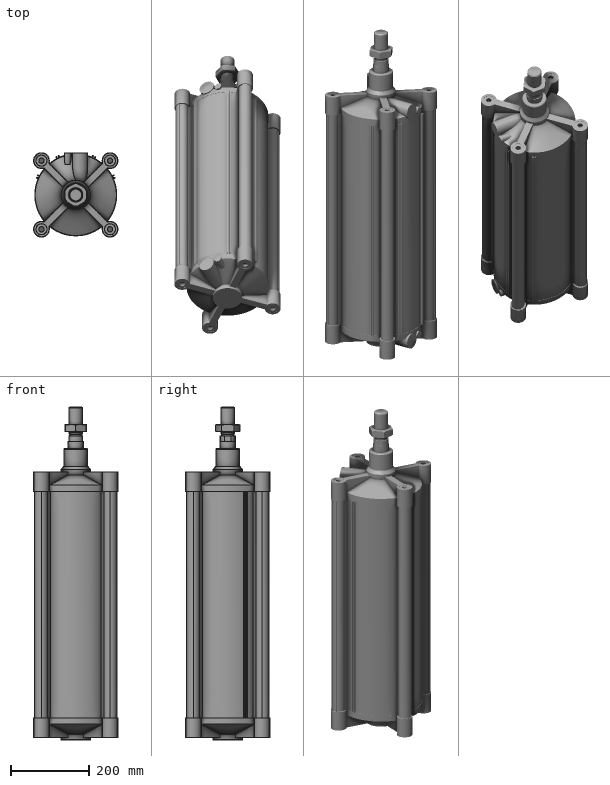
import cadquery as cq
import math

TOTAL_HEIGHT = 853.0

REAR_SEAM = 56.0
FRONT_SEAM = 636.0

CAP_RADIUS = 105.0
CAP_RIM_HEIGHT = 16.0
CAP_CONE_TOP = 43.0
BOSS_HEIGHT = 50.0
HUB_DIAMETER = 75.0
HUB_HEIGHT = REAR_SEAM
RIB_WIDTH = 18.0

CORNER_OFFSET = 88.0
BOSS_DIAMETER = 40.0
RECESS_DIAMETER = 28.0
RECESS_DEPTH = 1.0
SOCKET_DIAMETER = 14.0
SOCKET_DEPTH = 10.0

STUB_END_Y = CORNER_OFFSET + BOSS_DIAMETER / 2
PORT_DIAMETER = 39.0
PORT_X = 11.0
PORT_HEIGHT = 26.5
VALVE_DIAMETER = 18.0
VALVE_X = -20.5
VALVE_HEIGHT = 19.0
VALVE_START_Y = 78.5

NECK_DIAMETER = 61.0
NECK_TOP = 746.0
NECK_CHAMFER = 2.0
NECK_CONE_HEIGHT = 8.5

BARREL_RADIUS = 104.0
LOBE_DIAMETER = 31.5
LOBE_SHELL_DIAMETER = 36.0
WEB_WIDTH = 22.0
RAIL_ANGLES = (25.5, 64.5, 115.5, 154.5)
RAIL_LIP_WIDTH = 2.0
RAIL_LIP_SPACING = 7.0
RAIL_TIP_RADIUS = 110.0

ROD_DIAMETER = 40.0
WRENCH_DIAMETER = 39.0
WRENCH_BOTTOM = 764.0
ROD_SHOULDER = 779.0
WRENCH_FLATS = 36.0
UNDERCUT_DIAMETER = 31.5
UNDERCUT_TOP = 783.0
THREAD_DIAMETER = 36.0
THREAD_BOTTOM = 788.0
THREAD_CHAMFER = 2.5

NUT_FLATS = 55.0
NUT_BOTTOM = 790.0
NUT_THICKNESS = 18.0
NUT_CHAMFER_RADIUS = 29.0
NUT_CHAMFER_SLOPE = math.tan(math.radians(30))

CORNER_ANGLES = (45, 135, 225, 315)
CORNER_RADIUS = CORNER_OFFSET * math.sqrt(2)


def disc(diameter, bottom, top):
    return cq.Workplane("XY").workplane(offset=bottom).circle(diameter / 2).extrude(top - bottom)


def corner_disc(diameter, bottom, top, angle):
    at_corner = disc(diameter, bottom, top).translate((CORNER_RADIUS, 0, 0))
    return at_corner.rotate((0, 0, 0), (0, 0, 1), angle)


def radial_bar(start, end, width, height, angle, side_shift=0):
    """Bar on Z = 0 that runs outward along the given angle."""
    bar = cq.Workplane("XY").box(end - start, width, height, centered=(False, True, False))
    return bar.translate((start, side_shift, 0)).rotate((0, 0, 0), (0, 0, 1), angle)


def side_stub(diameter, x, height, start_y):
    """Round stub that runs from the given Y out to the +Y side."""
    stub = cq.Workplane("XZ").center(x, height).circle(diameter / 2).extrude(start_y - STUB_END_Y)
    return stub.translate((0, start_y, 0))


def make_end_cap():
    """End cap with its seam on Z = 0 and its hub pointing up."""
    hub_radius = HUB_DIAMETER / 2
    cap = (
        cq.Workplane("XZ")
        .moveTo(0, 0)
        .lineTo(CAP_RADIUS, 0)
        .lineTo(CAP_RADIUS, CAP_RIM_HEIGHT)
        .lineTo(hub_radius, CAP_CONE_TOP)
        .lineTo(hub_radius, HUB_HEIGHT)
        .lineTo(0, HUB_HEIGHT)
        .close()
        .revolve(360, (0, 0, 0), (0, 1, 0))
    )
    cap = cap.union(side_stub(PORT_DIAMETER, PORT_X, PORT_HEIGHT, 0))
    cap = cap.union(side_stub(VALVE_DIAMETER, VALVE_X, VALVE_HEIGHT, VALVE_START_Y))
    for angle in CORNER_ANGLES:
        cap = cap.union(radial_bar(0, CORNER_RADIUS, RIB_WIDTH, BOSS_HEIGHT, angle))
        cap = cap.union(corner_disc(BOSS_DIAMETER, 0, BOSS_HEIGHT, angle))
    recess_floor = BOSS_HEIGHT - RECESS_DEPTH
    for angle in CORNER_ANGLES:
        cap = cap.cut(corner_disc(RECESS_DIAMETER, recess_floor, BOSS_HEIGHT, angle))
        cap = cap.cut(corner_disc(SOCKET_DIAMETER, recess_floor - SOCKET_DEPTH, recess_floor, angle))
    return cap


def make_rear_cap():
    return make_end_cap().mirror("XY").translate((0, 0, REAR_SEAM))


def make_front_cap():
    hub_top = FRONT_SEAM + HUB_HEIGHT
    neck_bottom = hub_top + NECK_CONE_HEIGHT
    hub_cone = (
        cq.Workplane("XY")
        .workplane(offset=hub_top)
        .circle(HUB_DIAMETER / 2)
        .workplane(offset=NECK_CONE_HEIGHT)
        .circle(NECK_DIAMETER / 2)
        .loft()
    )
    neck = disc(NECK_DIAMETER, neck_bottom, NECK_TOP).faces(">Z").chamfer(NECK_CHAMFER)
    cap = make_end_cap().translate((0, 0, FRONT_SEAM)).union(hub_cone).union(neck)
    return cap.cut(disc(ROD_DIAMETER, FRONT_SEAM, NECK_TOP))


def lobe_shell(length, angle):
    """Quarter of the larger column, centred on the outward diagonal."""
    reach = LOBE_SHELL_DIAMETER
    quadrant = (
        cq.Workplane("XY")
        .polyline([(0, 0), (reach, reach), (reach, -reach)])
        .close()
        .extrude(length)
        .translate((CORNER_RADIUS, 0, 0))
        .rotate((0, 0, 0), (0, 0, 1), angle)
    )
    return corner_disc(LOBE_SHELL_DIAMETER, 0, length, angle).intersect(quadrant)


def make_barrel():
    length = FRONT_SEAM - REAR_SEAM
    barrel = disc(2 * BARREL_RADIUS, 0, length)
    for angle in CORNER_ANGLES:
        barrel = barrel.union(radial_bar(0, CORNER_RADIUS, WEB_WIDTH, length, angle))
        barrel = barrel.union(corner_disc(LOBE_DIAMETER, 0, length, angle))
        barrel = barrel.union(lobe_shell(length, angle))
    for angle in RAIL_ANGLES:
        for side in (-1, 1):
            shift = side * RAIL_LIP_SPACING / 2
            lip = radial_bar(0, RAIL_TIP_RADIUS, RAIL_LIP_WIDTH, length, angle, shift)
            barrel = barrel.union(lip)
    return barrel.translate((0, 0, REAR_SEAM))


def make_rod():
    rod = disc(ROD_DIAMETER, FRONT_SEAM, WRENCH_BOTTOM)
    wrench_height = ROD_SHOULDER - WRENCH_BOTTOM
    flats = (
        cq.Workplane("XY")
        .box(WRENCH_FLATS, ROD_DIAMETER, wrench_height, centered=(True, True, False))
        .translate((0, 0, WRENCH_BOTTOM))
    )
    undercut_cone = (
        cq.Workplane("XY")
        .workplane(offset=UNDERCUT_TOP)
        .circle(UNDERCUT_DIAMETER / 2)
        .workplane(offset=THREAD_BOTTOM - UNDERCUT_TOP)
        .circle(THREAD_DIAMETER / 2)
        .loft()
    )
    thread = disc(THREAD_DIAMETER, THREAD_BOTTOM, TOTAL_HEIGHT).faces(">Z").chamfer(THREAD_CHAMFER)
    rod = rod.union(disc(WRENCH_DIAMETER, WRENCH_BOTTOM, ROD_SHOULDER).intersect(flats))
    rod = rod.union(disc(UNDERCUT_DIAMETER, ROD_SHOULDER, UNDERCUT_TOP))
    return rod.union(undercut_cone).union(thread)


def make_nut():
    corner_diameter = NUT_FLATS / math.cos(math.radians(30))
    edge_radius = corner_diameter / 2
    chamfer_height = (edge_radius - NUT_CHAMFER_RADIUS) * NUT_CHAMFER_SLOPE
    hexagon = (
        cq.Workplane("XY")
        .polygon(6, corner_diameter)
        .extrude(NUT_THICKNESS)
        .rotate((0, 0, 0), (0, 0, 1), 90)
    )
    chamfered_disc = (
        cq.Workplane("XZ")
        .moveTo(0, 0)
        .lineTo(NUT_CHAMFER_RADIUS, 0)
        .lineTo(edge_radius, chamfer_height)
        .lineTo(edge_radius, NUT_THICKNESS - chamfer_height)
        .lineTo(NUT_CHAMFER_RADIUS, NUT_THICKNESS)
        .lineTo(0, NUT_THICKNESS)
        .close()
        .revolve(360, (0, 0, 0), (0, 1, 0))
    )
    nut = hexagon.intersect(chamfered_disc).cut(disc(THREAD_DIAMETER, 0, NUT_THICKNESS))
    return nut.translate((0, 0, NUT_BOTTOM))


rear_cap = make_rear_cap()
front_cap = make_front_cap()
barrel = make_barrel()
rod = make_rod()
nut = make_nut()

result = cq.Compound.makeCompound(
    [rear_cap.val(), front_cap.val(), barrel.val(), rod.val(), nut.val()]
)